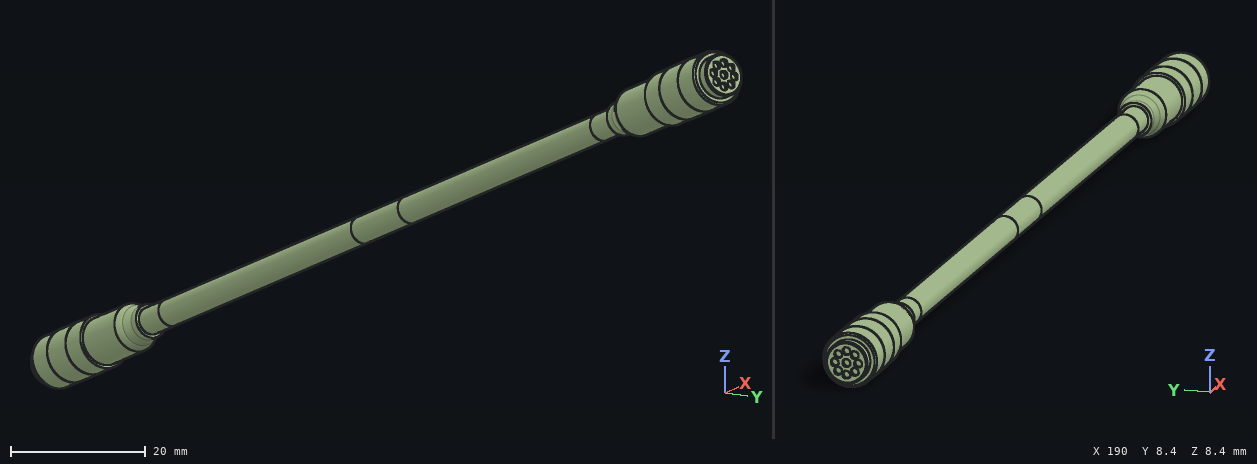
import cadquery as cq

overall_length = 190.0
half_length = overall_length / 2

cable_radius = 2.1
label_length = 13.2

nose_end = 1.8
front_grip_end = 6.3
rear_grip_end = 11.5
collar_end = 15.6
barrel_end = 24.5
shoulder_end = 25.8
neck_start = 27.4
neck_end = 28.8
boot_end = 34.3

nose_radius = 3.2
front_grip_radius = 4.15
rear_grip_radius = 4.2
collar_radius = 4.15
barrel_radius = 3.7
shoulder_radius = 3.1
neck_radius = 2.6

nose_chamfer = 0.2
grip_chamfer = 0.3
shoulder_arc_radius = 4.0

ring_socket_count = 8
socket_ring_radius = 1.8
socket_radius = 0.6
socket_depth = 0.6


def make_connector():
    """Turned connector with its cable boot: mating face at X = 0, boot toward +X."""
    profile = (
        cq.Workplane("XY")
        .lineTo(0, nose_radius - nose_chamfer)
        .lineTo(nose_chamfer, nose_radius)
        .lineTo(nose_end, nose_radius)
        .lineTo(nose_end, front_grip_radius - grip_chamfer)
        .lineTo(nose_end + grip_chamfer, front_grip_radius)
        .lineTo(front_grip_end, front_grip_radius)
        .lineTo(front_grip_end, rear_grip_radius)
        .lineTo(rear_grip_end, rear_grip_radius)
        .lineTo(rear_grip_end, collar_radius)
        .lineTo(collar_end, collar_radius)
        .lineTo(collar_end, barrel_radius)
        .lineTo(barrel_end, barrel_radius)
        .radiusArc((shoulder_end, shoulder_radius), shoulder_arc_radius)
        .lineTo(neck_start, neck_radius)
        .lineTo(neck_end, neck_radius)
        .lineTo(neck_end, cable_radius)
        .lineTo(boot_end, cable_radius)
        .lineTo(boot_end, 0)
        .close()
    )
    body = profile.revolve(360, (0, 0, 0), (1, 0, 0))
    centre_socket = cq.Workplane("YZ").circle(socket_radius).extrude(socket_depth)
    ring_sockets = (
        cq.Workplane("YZ")
        .polarArray(socket_ring_radius, 0, 360, ring_socket_count)
        .circle(socket_radius)
        .extrude(socket_depth)
    )
    return body.cut(centre_socket).cut(ring_sockets)


def make_rod(x_start, x_end):
    """Round length of cable diameter between two X positions."""
    return cq.Workplane("YZ", origin=(x_start, 0, 0)).circle(cable_radius).extrude(x_end - x_start)


connector = make_connector().translate((-half_length, 0, 0))
connectors = [connector.rotate((0, 0, 0), (0, 0, 1), turn) for turn in (0, 180)]

label = make_rod(-label_length / 2, label_length / 2)

cable_half = make_rod(label_length / 2, half_length - boot_end)
cable_halves = [cable_half.rotate((0, 0, 0), (0, 0, 1), turn) for turn in (0, 180)]

bodies = [*connectors, label, *cable_halves]
result = cq.Compound.makeCompound([body.val() for body in bodies])